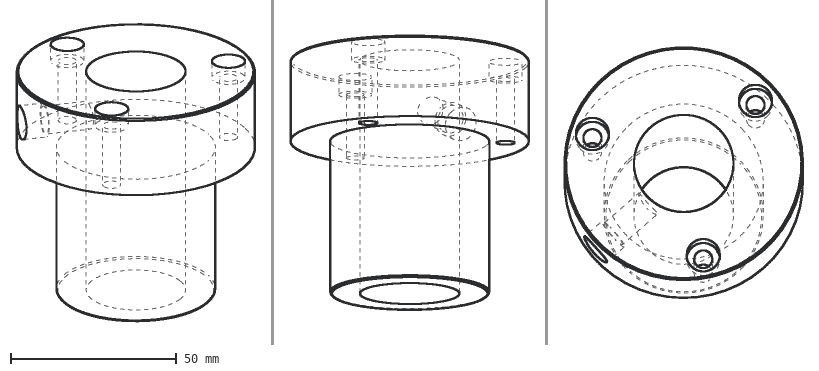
import cadquery as cq

flange_diameter = 72.0
total_height = 72.0
flange_height = 25.0
stem_diameter = 48.0
bore_diameter = 30.0
edge_chamfer = 0.5

screw_count = 3
screw_circle_radius = 29.0
screw_hole_diameter = 5.5
counterbore_diameter = 10.0
counterbore_depth = 5.5

side_hole_diameter = 8.5
side_recess_diameter = 10.3
side_recess_depth = 7.5
side_hole_drop = 12.7


def make_body():
    """Stem with a wider flange on top, chamfered at both outer ends."""
    stem = cq.Workplane("XY").circle(stem_diameter / 2).extrude(total_height)
    flange = (
        cq.Workplane("XY")
        .workplane(offset=total_height - flange_height)
        .circle(flange_diameter / 2)
        .extrude(flange_height)
    )
    body = stem.union(flange)
    return body.faces("<Z or >Z").edges().chamfer(edge_chamfer)


def cut_bore(body):
    bore = cq.Workplane("XY").circle(bore_diameter / 2).extrude(total_height)
    return body.cut(bore)


def cut_screw_holes(body):
    return (
        body.faces(">Z")
        .workplane(origin=(0, 0, total_height))
        .polarArray(screw_circle_radius, 90, 360, screw_count)
        .cboreHole(screw_hole_diameter, counterbore_diameter, counterbore_depth)
    )


def cut_side_hole(body):
    """Radial hole with a wider recess at the outer surface."""
    mouth = cq.Workplane("XZ", origin=(0, -flange_diameter / 2, total_height - side_hole_drop))
    drill = mouth.circle(side_hole_diameter / 2).extrude(-flange_diameter / 2)
    recess = mouth.circle(side_recess_diameter / 2).extrude(-side_recess_depth)
    return body.cut(drill).cut(recess)


result = cut_side_hole(cut_screw_holes(cut_bore(make_body())))